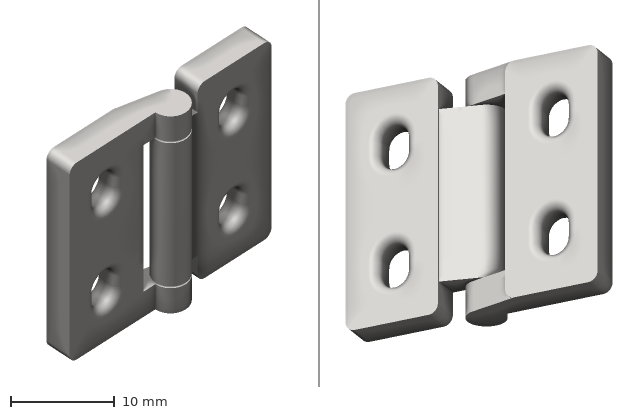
import cadquery as cq
import math


hinge_height = 25.0
hinge_width = 27.3
hinge_depth = 5.25
plate_width = 10.0
plate_thickness = 3.2
plate_corner_radius = 1.0

knuckle_radius = hinge_depth - plate_thickness
end_knuckle_height = 3.2
knuckle_gap = 0.2
middle_knuckle_height = hinge_height - 2 * (end_knuckle_height + knuckle_gap)
pin_diameter = 2.0
pin_length = hinge_height - end_knuckle_height

slot_width = 3.0
slot_travel = 1.5
slot_spacing = 12.5
slot_edge_radius = 1.0

plate_outer_y = hinge_width / 2
plate_inner_y = plate_outer_y - plate_width
plate_middle_y = plate_outer_y - plate_width / 2
front_x = -plate_thickness
back_x = 0.0
taper_start_y = plate_inner_y + plate_corner_radius


def make_plate():
    """Plate on the +Y side with rounded corners and two screw slots rounded at both faces."""
    plate = (
        cq.Workplane("YZ", origin=(front_x, plate_middle_y, 0))
        .rect(plate_width, hinge_height)
        .extrude(plate_thickness)
        .edges("|X")
        .fillet(plate_corner_radius)
    )
    slots = (
        cq.Workplane("YZ", origin=(front_x, plate_middle_y, 0))
        .pushPoints([(0, -slot_spacing / 2), (0, slot_spacing / 2)])
        .slot2D(slot_travel + slot_width, slot_width, 90)
        .extrude(plate_thickness)
    )
    slot_region = cq.selectors.BoxSelector(
        (front_x - slot_width, plate_middle_y - slot_width, -slot_spacing / 2 - slot_width),
        (back_x + slot_width, plate_middle_y + slot_width, slot_spacing / 2 + slot_width),
    )
    slotted_plate = plate.cut(slots)
    slot_edges = slotted_plate.faces("<X or >X").edges(slot_region)
    return slot_edges.fillet(slot_edge_radius)


def make_knuckle(bottom_z, height):
    """Round knuckle on the pin axis with the arm that joins it to a plate on the +Y side.

    The front of the arm slopes from the plate face to the line where it is tangent to the knuckle.
    """
    distance_to_axis = math.hypot(front_x, taper_start_y)
    slope_angle = math.atan2(-front_x, taper_start_y) - math.asin(knuckle_radius / distance_to_axis)
    tangent_point = (
        -knuckle_radius * math.cos(slope_angle),
        -knuckle_radius * math.sin(slope_angle),
    )
    arm = (
        cq.Workplane("XY", origin=(0, 0, bottom_z))
        .moveTo(front_x, taper_start_y)
        .lineTo(*tangent_point)
        .lineTo(back_x, 0)
        .lineTo(back_x, taper_start_y)
        .close()
        .extrude(height)
    )
    barrel = cq.Workplane("XY", origin=(0, 0, bottom_z)).circle(knuckle_radius).extrude(height)
    return arm.union(barrel)


def make_pin():
    """Pin centred on the hinge height."""
    return cq.Workplane("XY", origin=(0, 0, -pin_length / 2)).circle(pin_diameter / 2).extrude(pin_length)


def make_middle_leaf():
    """Leaf on the +Y side, with one long bored middle knuckle."""
    knuckle = make_knuckle(-middle_knuckle_height / 2, middle_knuckle_height)
    return make_plate().union(knuckle).cut(make_pin())


def make_fork_leaf():
    """Leaf on the -Y side, with a knuckle at each end and the pin fixed between them."""
    leaf = make_plate()
    for bottom_z in (-hinge_height / 2, hinge_height / 2 - end_knuckle_height):
        leaf = leaf.union(make_knuckle(bottom_z, end_knuckle_height))
    return leaf.union(make_pin()).mirror("XZ")


middle_leaf = make_middle_leaf()
fork_leaf = make_fork_leaf()

result = cq.Compound.makeCompound([middle_leaf.solids().val(), fork_leaf.solids().val()])